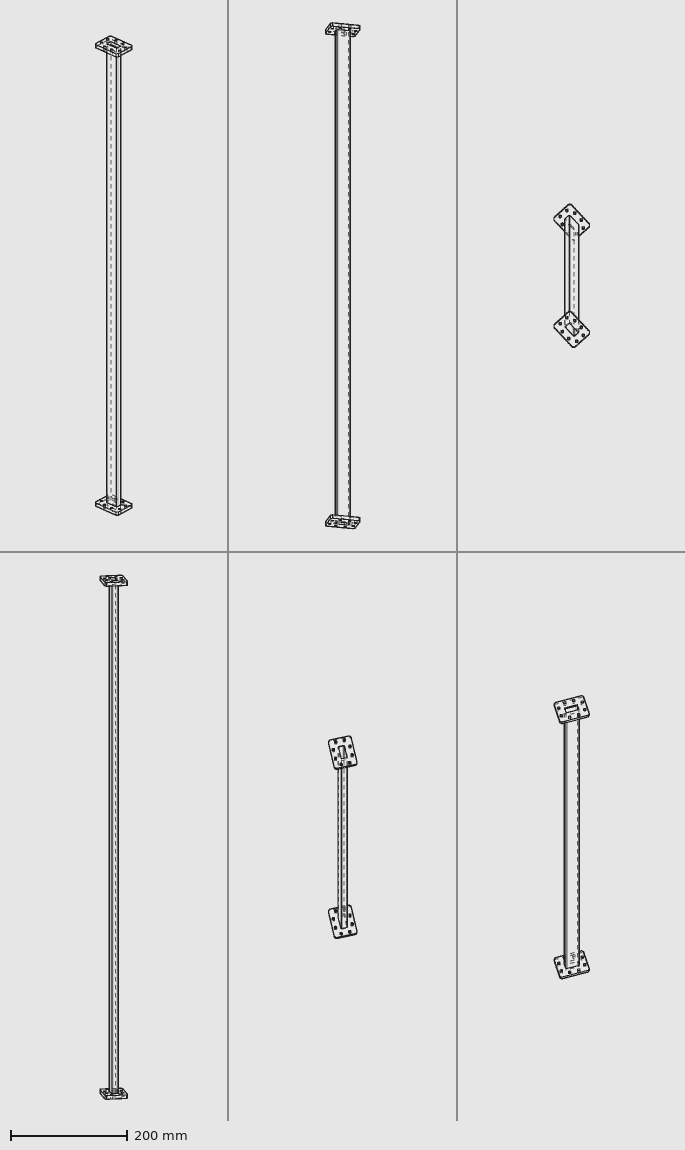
import cadquery as cq

length = 914.0
flange_x = 53.0
flange_y = 40.0
flange_thickness = 6.0
flange_corner_chamfer = 3.0

bore_x = 23.0
bore_y = 10.0
wall = 1.3
tube_x = bore_x + 2 * wall
tube_y = bore_y + 2 * wall
tube_corner_radius = 3.0

hole_diameter = 4.2
long_edge_hole_x = 8.0
long_edge_hole_y = 15.0
short_edge_hole_x = 21.0
short_edge_hole_y = 7.8


def mirrored_points(x, y):
    return [(sign_x * x, sign_y * y) for sign_x in (-1, 1) for sign_y in (-1, 1)]


def make_tube():
    return (
        cq.Workplane("XY")
        .box(tube_x, tube_y, length)
        .edges("|Z")
        .fillet(tube_corner_radius)
    )


def make_flange(center_z):
    bolt_points = (
        mirrored_points(long_edge_hole_x, long_edge_hole_y)
        + mirrored_points(short_edge_hole_x, short_edge_hole_y)
    )
    return (
        cq.Workplane("XY")
        .box(flange_x, flange_y, flange_thickness)
        .edges("|Z")
        .chamfer(flange_corner_chamfer)
        .faces(">Z")
        .workplane()
        .pushPoints(bolt_points)
        .hole(hole_diameter)
        .translate((0, 0, center_z))
    )


result = make_tube()
flange_center_z = (length - flange_thickness) / 2
for end in (-1, 1):
    result = result.union(make_flange(end * flange_center_z))

result = result.cut(cq.Workplane("XY").box(bore_x, bore_y, length))